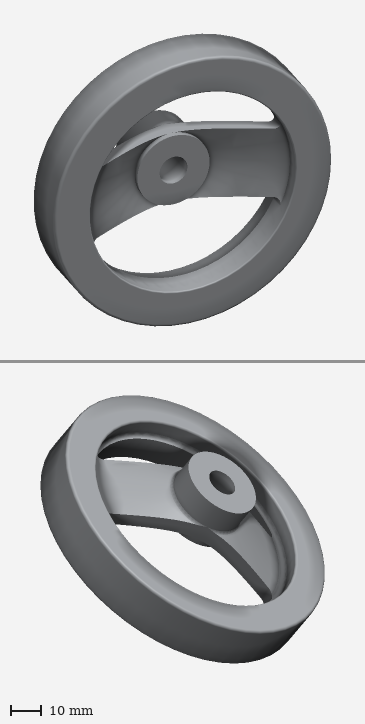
import cadquery as cq
import math

total_length = 33.0

rim_diameter = 100.0
rim_width = 17.0
rim_front = total_length - rim_width
rim_edge_round = 1.0
bore_diameter = 74.0
recess_diameter = 77.0
recess_edge_round = 0.8
bore_back_round = 0.5
recess_root_round = 1.5

hub_diameter = 26.0
shaft_diameter = 10.0
hub_back = 17.5
hub_root_round = 1.2

cone_start = 10.0
front_slope_angle = 29.0
back_slope_angle = 28.0
web_root_thickness = 5.5
spoke_width = hub_diameter
window_corner_round = 2.0

hub_radius = hub_diameter / 2
bore_radius = bore_diameter / 2
recess_radius = recess_diameter / 2
front_slope = math.tan(math.radians(front_slope_angle))
back_slope = math.tan(math.radians(back_slope_angle))
front_recess_root = cone_start + (recess_radius - hub_radius) * front_slope
back_cone_start = cone_start + web_root_thickness
back_recess_root = back_cone_start + (recess_radius - hub_radius) * back_slope
hub_round_reach = hub_root_round * math.tan(math.radians(90 - front_slope_angle) / 2)
hub_round_start = cone_start - hub_round_reach


def cylinder(diameter, start, end):
    """Solid cylinder along X between two axial positions."""
    return cq.Workplane("YZ", origin=(start, 0, 0)).circle(diameter / 2).extrude(end - start)


def make_rim():
    """Rounded ring with a wider recess in front of the spoke."""
    ring = cylinder(rim_diameter, rim_front, total_length).edges().fillet(rim_edge_round)
    ring = ring.cut(cylinder(bore_diameter, rim_front, total_length))
    return ring.cut(cylinder(recess_diameter, rim_front, front_recess_root))


def make_web():
    """Conical web, turned about X, blending into the hub with a concave round."""
    slope = math.radians(front_slope_angle)
    round_end = (
        cone_start + hub_round_reach * math.sin(slope),
        hub_radius + hub_round_reach * math.cos(slope),
    )
    mid_angle = math.radians(90 - front_slope_angle) / 2
    round_middle = (
        hub_round_start + hub_root_round * math.sin(mid_angle),
        hub_radius + hub_root_round * (1 - math.cos(mid_angle)),
    )
    profile = (
        cq.Workplane("XY")
        .moveTo(hub_round_start, 0)
        .lineTo(hub_round_start, hub_radius)
        .threePointArc(round_middle, round_end)
        .lineTo(front_recess_root, recess_radius)
        .lineTo(back_recess_root, recess_radius)
        .lineTo(back_cone_start, hub_radius)
        .lineTo(back_cone_start, 0)
        .close()
    )
    return profile.revolve(360, (0, 0), (1, 0))


def round_circle(body, position, radius, round_radius):
    """Round the circular edge about X at the given axial position and radius."""
    margin = 0.1
    outer = radius + margin
    edges = body.edges(cq.selectors.BoxSelector(
        (position - margin, -outer, -outer), (position + margin, outer, outer), boundingbox=True
    ))
    return edges.fillet(round_radius)


def make_window():
    """Opening on the +Z side of the spoke with rounded corners."""
    half_width = spoke_width / 2
    opening = cylinder(bore_diameter, 0, total_length)
    upper_half = cq.Workplane("XY", origin=(total_length / 2, 0, half_width)).box(
        total_length, bore_diameter, bore_diameter, centered=(True, True, False)
    )
    return opening.intersect(upper_half).edges("|X").fillet(window_corner_round)


window = make_window()
result = make_rim().union(make_web())
result = round_circle(result, front_recess_root, recess_radius, recess_root_round)
result = round_circle(result, rim_front, recess_radius, recess_edge_round)
result = round_circle(result, total_length, bore_radius, bore_back_round)
result = result.cut(window).cut(window.mirror("XY"))
result = result.union(cylinder(hub_diameter, 0, hub_back))
result = result.cut(cylinder(shaft_diameter, 0, total_length))